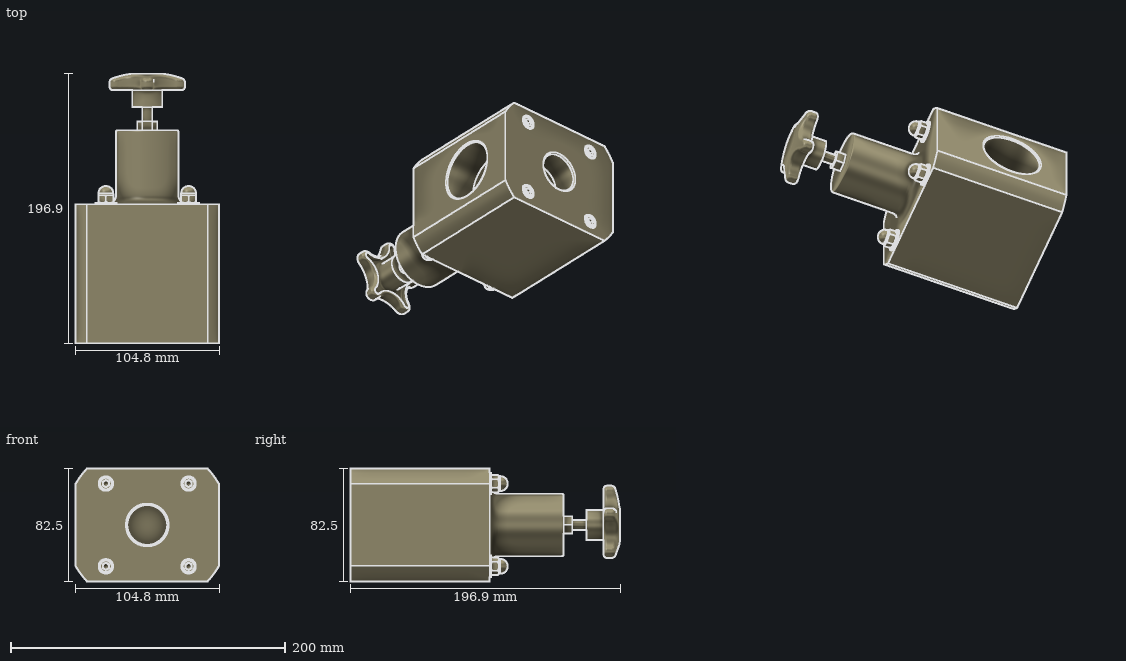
import cadquery as cq
import math

BODY_WIDTH = 104.775
BODY_HEIGHT = 82.55
BODY_LENGTH = 101.6
BODY_TURNED_DIAMETER = 120.65

FRONT_PORT_DIAMETER = 28.96
FRONT_PORT_MOUTH_DIAMETER = 31.3
FRONT_PORT_DEPTH = 20.3
SIDE_PORT_DIAMETER = 43.87
SIDE_PORT_MOUTH_DIAMETER = 45.72
SIDE_PORT_DEPTH = 25.4
SIDE_PORT_Y = 42.9

BOLT_SPACING = 60.325
COUNTERBORE_DIAMETER = 10.7
COUNTERBORE_DEPTH = 6.35
HEAD_DIAMETER = 9.525
HEAD_CHAMFER = 0.6
SOCKET_ACROSS_FLATS = 4.7625
SOCKET_DEPTH = 3.0
SOCKET_DRILL_DIAMETER = 4.45
SOCKET_DRILL_TIP_DEPTH = 1.3
WASHER_DIAMETER = 15.875
WASHER_THICKNESS = 1.1
CAP_NUT_ACROSS_FLATS = 11.1125
CAP_NUT_HEX_HEIGHT = 5.5
CAP_NUT_CORNER_CHAMFER = 0.6
CAP_NUT_COLLAR_HEIGHT = 1.2
CAP_NUT_DOME_DIAMETER = 11.0

BONNET_DIAMETER = 45.72
BONNET_LENGTH = 53.975
BONNET_FLARE_RADIUS = 6.35
BONNET_END_FILLET = 1.2

LOCK_NUT_ACROSS_FLATS = 12.7
LOCK_NUT_HEIGHT = 6.35
STEM_DIAMETER = 7.44
STEM_EXPOSED_LENGTH = 10.325

HUB_DIAMETER = 22.1
HUB_LENGTH = 12.4
KNOB_HEIGHT = 12.2
LOBE_COUNT = 5
LOBE_RADIUS = 4.7625
HOLLOW_RADIUS = 12.7
KNOB_DOME_RADIUS = 85.0
KNOB_TOP_FILLET = 3.0
KNOB_BOTTOM_FILLET = 2.7
KNOB_RIM_WIDTH = 2.4
KNOB_POCKET_DEPTH = 4.6
KNOB_POCKET_HUB_FILLET = 2.4
KNOB_POCKET_WALL_FILLET = 1.0

BONNET_END_Y = BODY_LENGTH + BONNET_LENGTH
HUB_START_Y = BONNET_END_Y + LOCK_NUT_HEIGHT + STEM_EXPOSED_LENGTH
KNOB_START_Y = HUB_START_Y + HUB_LENGTH

BOLT_CENTERS = [
    (side * BOLT_SPACING / 2, level * BOLT_SPACING / 2)
    for side in (-1, 1)
    for level in (-1, 1)
]


def plane_at(y, x=0.0, z=0.0):
    """Workplane facing +Y, with its local y along Z."""
    return cq.Workplane(cq.Plane(origin=(x, y, z), xDir=(-1, 0, 0), normal=(0, 1, 0)))


def cylinder(y, diameter, length, x=0.0, z=0.0):
    return plane_at(y, x, z).circle(diameter / 2).extrude(length)


def hexagon(y, across_flats, length, x=0.0, z=0.0, turn=0.0):
    """Hexagonal prism along +Y, with two corners on the X axis when not turned."""
    corner_diameter = across_flats / math.cos(math.pi / 6)
    prism = plane_at(y, x, z).polygon(6, corner_diameter).extrude(length)
    return prism.rotate((x, y, z), (x, y + 1, z), turn)


def port_cutter(diameter, mouth_diameter, depth):
    """Flat-bottomed bore along +Y from the origin, with a 45 degree mouth."""
    radius = diameter / 2
    mouth_radius = mouth_diameter / 2
    profile = [
        (0, 0),
        (mouth_radius, 0),
        (radius, mouth_radius - radius),
        (radius, depth),
        (0, depth),
    ]
    return cq.Workplane("XY").polyline(profile).close().revolve(360, (0, 0), (0, 1))


def make_body():
    block = plane_at(0).rect(BODY_WIDTH, BODY_HEIGHT).extrude(BODY_LENGTH)
    body = block.intersect(cylinder(0, BODY_TURNED_DIAMETER, BODY_LENGTH))
    front_port = port_cutter(FRONT_PORT_DIAMETER, FRONT_PORT_MOUTH_DIAMETER, FRONT_PORT_DEPTH)
    side_port = port_cutter(SIDE_PORT_DIAMETER, SIDE_PORT_MOUTH_DIAMETER, SIDE_PORT_DEPTH)
    side_port = side_port.rotate((0, 0, 0), (0, 0, 1), -90)
    side_port = side_port.translate((-BODY_WIDTH / 2, SIDE_PORT_Y, 0))
    return body.cut(front_port).cut(side_port)


def make_bolt_head(x, z):
    """Socket head that fills the counterbore depth, with a drilled hexagon socket."""
    head = cylinder(0, HEAD_DIAMETER, COUNTERBORE_DEPTH, x, z)
    head = head.faces("<Y").chamfer(HEAD_CHAMFER)
    socket = hexagon(0, SOCKET_ACROSS_FLATS, SOCKET_DEPTH, x, z, turn=30)
    drill_tip = cq.Solid.makeCone(
        SOCKET_DRILL_DIAMETER / 2,
        0,
        SOCKET_DRILL_TIP_DEPTH,
        pnt=cq.Vector(x, SOCKET_DEPTH, z),
        dir=cq.Vector(0, 1, 0),
    )
    return head.cut(socket).cut(cq.Workplane(drill_tip))


def make_cap_nut(x, z):
    """Washer, hexagon with chamfered corners, collar and hemispherical dome."""
    hex_y = BODY_LENGTH + WASHER_THICKNESS
    collar_y = hex_y + CAP_NUT_HEX_HEIGHT
    dome_y = collar_y + CAP_NUT_COLLAR_HEIGHT
    corner_diameter = CAP_NUT_ACROSS_FLATS / math.cos(math.pi / 6)
    washer = cylinder(BODY_LENGTH, WASHER_DIAMETER, WASHER_THICKNESS, x, z)
    corner_limit = cylinder(hex_y, corner_diameter, CAP_NUT_HEX_HEIGHT, x, z)
    corner_limit = corner_limit.edges("%CIRCLE").chamfer(CAP_NUT_CORNER_CHAMFER)
    nut = hexagon(hex_y, CAP_NUT_ACROSS_FLATS, CAP_NUT_HEX_HEIGHT, x, z, turn=30).intersect(corner_limit)
    collar = cylinder(collar_y, CAP_NUT_ACROSS_FLATS, CAP_NUT_COLLAR_HEIGHT, x, z)
    dome = cq.Workplane("XY").sphere(CAP_NUT_DOME_DIAMETER / 2).translate((x, dome_y, z))
    return washer.union(nut).union(collar).union(dome)


def flare(diameter, flare_radius, base_y, direction):
    """Concave fillet of a cylinder into the plane at base_y, rising along +Y or -Y."""
    radius = diameter / 2
    tip_y = base_y + direction * flare_radius
    sag = flare_radius * (1 - math.sqrt(0.5))
    profile = (
        cq.Workplane("XY")
        .moveTo(0, base_y)
        .lineTo(radius + flare_radius, base_y)
        .threePointArc((radius + sag, base_y + direction * sag), (radius, tip_y))
        .lineTo(0, tip_y)
        .close()
    )
    return profile.revolve(360, (0, 0), (0, 1))


def make_bonnet():
    """Cylinder flared into the body, with a rounded outer end."""
    barrel = cylinder(BODY_LENGTH, BONNET_DIAMETER, BONNET_LENGTH)
    barrel = barrel.faces(">Y").edges().fillet(BONNET_END_FILLET)
    return barrel.union(flare(BONNET_DIAMETER, BONNET_FLARE_RADIUS, BODY_LENGTH, 1))


def make_stem():
    lock_nut = hexagon(BONNET_END_Y, LOCK_NUT_ACROSS_FLATS, LOCK_NUT_HEIGHT)
    stem = cylinder(BONNET_END_Y, STEM_DIAMETER, HUB_START_Y - BONNET_END_Y)
    return lock_nut.union(stem)


def polar(radius, angle):
    return (radius * math.cos(angle), radius * math.sin(angle))


def star_outline(y, inset=0.0):
    """Half-round lobes joined by tangent hollows; the first lobe points along +Z."""
    half_step = math.pi / LOBE_COUNT
    center_radius = (LOBE_RADIUS + HOLLOW_RADIUS) / math.tan(half_step)
    hollow_center_radius = center_radius / math.cos(half_step)
    lobe_radius = LOBE_RADIUS - inset
    hollow_radius = HOLLOW_RADIUS + inset
    tangent_radius = math.hypot(center_radius, lobe_radius)
    tangent_angle = math.atan2(lobe_radius, center_radius)
    first_angle = math.pi / 2
    outline = plane_at(y).moveTo(*polar(tangent_radius, first_angle - tangent_angle))
    for index in range(LOBE_COUNT):
        lobe_angle = first_angle + 2 * half_step * index
        next_angle = lobe_angle + 2 * half_step
        outline = outline.threePointArc(
            polar(center_radius + lobe_radius, lobe_angle),
            polar(tangent_radius, lobe_angle + tangent_angle),
        ).threePointArc(
            polar(hollow_center_radius - hollow_radius, lobe_angle + half_step),
            polar(tangent_radius, next_angle - tangent_angle),
        )
    return outline.close()


def make_knob():
    """Star knob with a domed top flattened over the hub and a hollow underside."""
    top_y = KNOB_START_Y + KNOB_HEIGHT
    flat_rise = math.sqrt(KNOB_DOME_RADIUS**2 - (HUB_DIAMETER / 2) ** 2)
    dome = cq.Workplane("XY").sphere(KNOB_DOME_RADIUS).translate((0, top_y - flat_rise, 0))
    star = star_outline(KNOB_START_Y).extrude(KNOB_HEIGHT).intersect(dome)
    star = star.faces("<Y").edges().fillet(KNOB_BOTTOM_FILLET)
    top_edges = star.faces("%SPHERE").edges("not %CIRCLE")
    star = star.newObject(top_edges.vals()).fillet(KNOB_TOP_FILLET)
    pocket = star_outline(KNOB_START_Y, KNOB_RIM_WIDTH).extrude(KNOB_POCKET_DEPTH)
    pocket = pocket.faces(">Y").edges().fillet(KNOB_POCKET_WALL_FILLET)
    pocket_floor_y = KNOB_START_Y + KNOB_POCKET_DEPTH
    hub = cylinder(HUB_START_Y, HUB_DIAMETER, pocket_floor_y - HUB_START_Y)
    hub_flare = flare(HUB_DIAMETER, KNOB_POCKET_HUB_FILLET, pocket_floor_y, -1)
    return star.cut(pocket).union(hub).union(hub_flare)


result = make_body().union(make_bonnet()).union(make_stem()).union(make_knob())
for bolt_x, bolt_z in BOLT_CENTERS:
    result = result.cut(cylinder(0, COUNTERBORE_DIAMETER, COUNTERBORE_DEPTH, bolt_x, bolt_z))
    result = result.union(make_bolt_head(bolt_x, bolt_z))
    result = result.union(make_cap_nut(bolt_x, bolt_z))